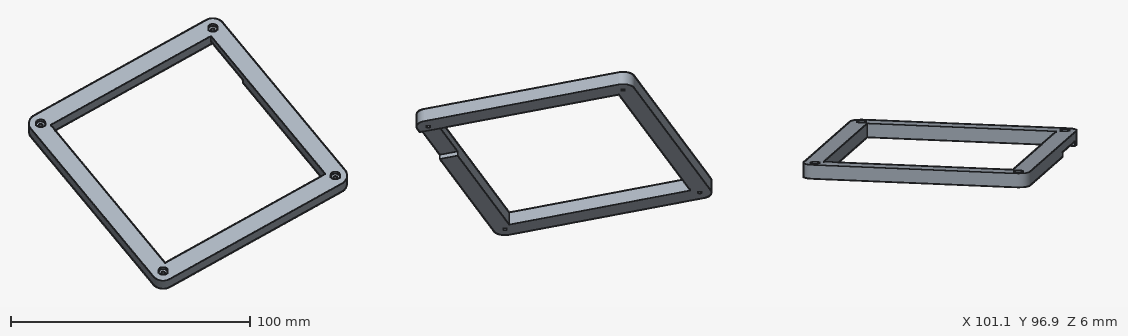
import cadquery as cq

length = 101.1
width = 96.9
height = 6.0
rail = 8.0
corner_radius = 5.0

hole_diameter = 1.6
counterbore_diameter = 4.0
counterbore_depth = 1.5

notch_length = 23.8
notch_height = 2.0

opening_length = length - 2 * rail
opening_width = width - 2 * rail


def make_frame():
    """Rounded plate with a sharp-cornered rectangular opening."""
    plate = cq.Workplane("XY").box(length, width, height, centered=(True, True, False))
    plate = plate.edges("|Z").fillet(corner_radius)
    opening = cq.Workplane("XY").box(
        opening_length, opening_width, height, centered=(True, True, False)
    )
    return plate.cut(opening)


def add_screw_holes(body):
    """Counterbored through holes at the four corners, entered from the top."""
    return (
        body.faces(">Z")
        .workplane(origin=(0, 0, height))
        .rect(length - 2 * corner_radius, width - 2 * corner_radius, forConstruction=True)
        .vertices()
        .cboreHole(hole_diameter, counterbore_diameter, counterbore_depth)
    )


def make_notch():
    """Block that opens the underside of the +Y rail across its full width."""
    return (
        cq.Workplane("XY")
        .box(notch_length, rail, notch_height, centered=False)
        .translate((-opening_length / 2, opening_width / 2, 0))
    )


result = add_screw_holes(make_frame()).cut(make_notch())